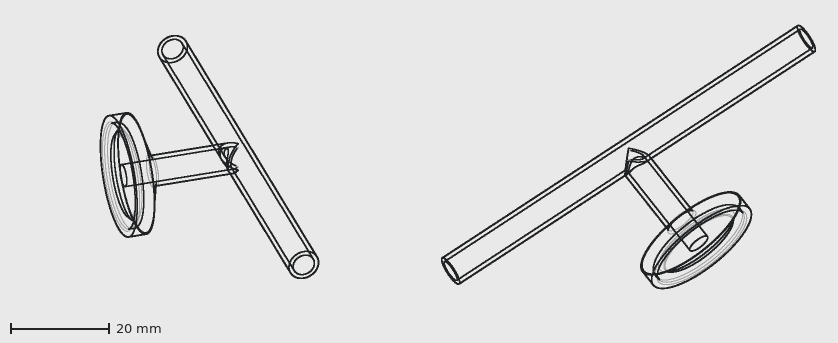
import cadquery as cq
import math

run_length = 89.0
tube_diameter = 6.3
bore_diameter = 4.5
overall_depth = 28.6

flange_diameter = 25.0
flange_thickness = 3.7
cone_base_diameter = 24.5
cone_angle = 20.0
neck_fillet = 0.5

recess_diameter = 21.8
recess_depth = 1.0
edge_fillet = 0.4
recess_floor_diameter = 17.3
groove_bottom_inner_diameter = 19.05
groove_depth = 0.9

tube_radius = tube_diameter / 2
face_y = tube_radius - overall_depth
flange_back_y = face_y + flange_thickness


def cylinder_along_x(diameter):
    """Cylinder as long as the run, centred on the origin."""
    return cq.Workplane("YZ").circle(diameter / 2).extrude(run_length).translate((-run_length / 2, 0, 0))


def branch_cylinder(diameter):
    """Cylinder from the sealing face to the axis of the run."""
    return cq.Workplane("XZ").circle(diameter / 2).extrude(-face_y)


def make_run():
    """Straight tube with a side opening for the branch."""
    tube = cylinder_along_x(tube_diameter).cut(cylinder_along_x(bore_diameter))
    return tube.cut(branch_cylinder(bore_diameter))


def revolve_about_branch(profile):
    """Close a half profile and turn it about the branch axis."""
    return profile.close().revolve(360, (0, 0, 0), (0, 1, 0))


def make_ferrule_blank():
    """Flange, cone and branch stem, with a fillet where the cone meets the stem."""
    flange_radius = flange_diameter / 2
    cone_base_radius = cone_base_diameter / 2
    slope = math.radians(cone_angle)
    cone_top_y = flange_back_y + (cone_base_radius - tube_radius) * math.tan(slope)
    tangent_length = neck_fillet * math.tan((math.pi / 2 - slope) / 2)
    fillet_center = (tube_radius + neck_fillet, cone_top_y + tangent_length)
    middle_angle = math.pi + (math.pi / 2 - slope) / 2
    fillet_start = (
        tube_radius + tangent_length * math.cos(slope),
        cone_top_y - tangent_length * math.sin(slope),
    )
    fillet_middle = (
        fillet_center[0] + neck_fillet * math.cos(middle_angle),
        fillet_center[1] + neck_fillet * math.sin(middle_angle),
    )
    fillet_end = (tube_radius, fillet_center[1])
    profile = (
        cq.Workplane("XY")
        .moveTo(0, face_y)
        .lineTo(flange_radius, face_y)
        .lineTo(flange_radius, flange_back_y)
        .lineTo(cone_base_radius, flange_back_y)
        .lineTo(*fillet_start)
        .threePointArc(fillet_middle, fillet_end)
        .lineTo(tube_radius, 0)
        .lineTo(0, 0)
    )
    return revolve_about_branch(profile)


def make_recess():
    """Round recess with a ring groove, sloped inside and rounded outside."""
    recess_radius = recess_diameter / 2
    floor_y = face_y + recess_depth
    profile = (
        cq.Workplane("XY")
        .moveTo(0, face_y)
        .lineTo(0, floor_y)
        .lineTo(recess_floor_diameter / 2, floor_y)
        .lineTo(groove_bottom_inner_diameter / 2, floor_y + groove_depth)
        .tangentArcPoint((recess_radius, floor_y), relative=False)
        .lineTo(recess_radius, face_y)
    )
    return revolve_about_branch(profile)


def round_edge(body, radius, y):
    """Round the circular edge of the given radius at the given height along the branch."""

    def is_wanted(edge):
        if edge.geomType() != "CIRCLE":
            return False
        return math.isclose(edge.radius(), radius) and math.isclose(edge.Center().y, y)

    return body.edges().filter(is_wanted).fillet(edge_fillet)


def make_branch():
    """Bored branch with its ferrule, its end saddled to fit around the run."""
    branch = make_ferrule_blank().cut(make_recess())
    branch = round_edge(branch, recess_diameter / 2, face_y)
    branch = round_edge(branch, recess_floor_diameter / 2, face_y + recess_depth)
    branch = branch.cut(branch_cylinder(bore_diameter))
    return branch.cut(cylinder_along_x(tube_diameter))


run = make_run()
branch = make_branch()
result = cq.Compound.makeCompound([run.val(), branch.val()])